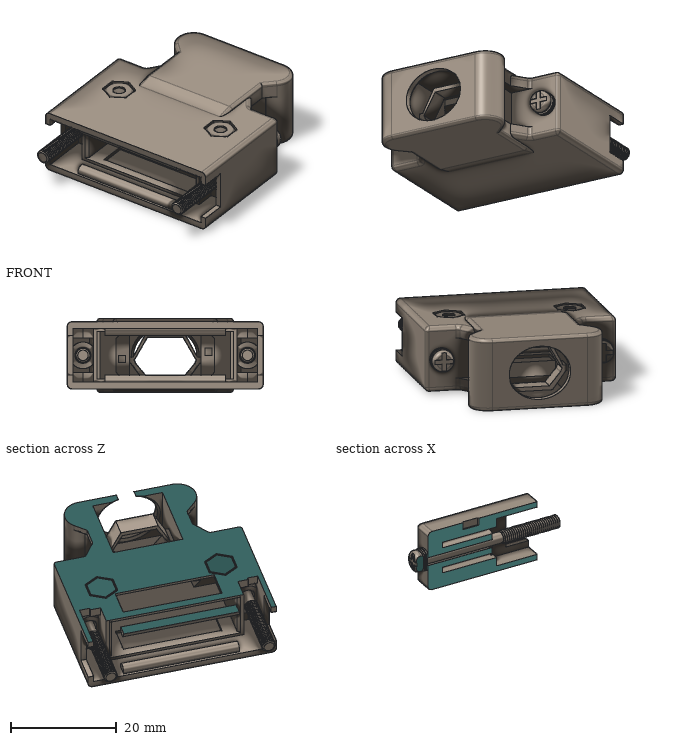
import cadquery as cq
import math


SIDES = (-1, 1)

HOOD_WIDTH = 37.1
HOOD_LENGTH = 23.82
HOOD_HEIGHT = 12.75
SHELL_ROUND = 0.95
SHELL_CORNER_ROUND = 0.6
SIDE_WALL = 1.05
FLOOR_WALL = 1.3
MOUTH_HALF_HEIGHT = HOOD_HEIGHT / 2 - FLOOR_WALL
SHOULDER_CORNER_X = 12.2
SHOULDER_END_X = 9.65
SHOULDER_END_Y = 27.45
SHOULDER_ROUND = 0.9

OVERALL_LENGTH = 44.2
SCREW_TIP_Y = -5.2
GRIP_BACK_Y = OVERALL_LENGTH + SCREW_TIP_Y
GRIP_HEIGHT = 14.0
LOBE_RADIUS = 3.65
LOBE_X = 9.25
LOBE_Y = GRIP_BACK_Y - LOBE_RADIUS
NECK_HALF_WIDTH = 9.85
GRIP_FRONT_Y = 17.7
RAMP_START_Y = 20.9
GRIP_ROUND = 0.65
WAIST_HALF_HEIGHT = 3.9
WAIST_HALF_WIDTH = 8.15
WAIST_CORNER_Y = 29.75

FRAME_Y = 4.95
PARTITION_OUTER_X = 13.55
CAVITY_HALF_WIDTH = 12.38
CAVITY_MOUTH_ROUND = 0.55
CAVITY_HALF_HEIGHT = 4.5
CAVITY_BACK_Y = 19.9
FUNNEL_HALF_WIDTH = 9.33
FUNNEL_CHAMFER = 1.33
NECK_BORE_HALF_WIDTH = 6.8
NECK_BORE_HALF_HEIGHT = 5.75
FUNNEL_END_Y = 23.43
NECK_BORE_END_Y = 37.15
CABLE_HOLE_HALF_WIDTH = 5.95
CABLE_HOLE_HALF_HEIGHT = 5.15
CABLE_HOLE_CHAMFER = 0.45
FLOOR_POCKET_HALF_WIDTH = 9.7
FLOOR_POCKET_START_Y = 6.65
FLOOR_POCKET_LENGTH = 5.3
FLOOR_POCKET_DEPTH = 0.57

NOTCH_INNER_X = 7.55
NOTCH_OUTER_X = 8.9
NOTCH_HEIGHT = 1.35
NOTCH_DEPTH_Y = 0.45

BAR_LENGTH = 22.8
BAR_RADIUS = 1.1
BAR_Y = 1.6
BAR_HEIGHT = 1.35
SLOT_HALF_HEIGHT = 3.7

SCREW_X = 15.55
CHANNEL_OUTER_X = HOOD_WIDTH / 2 - SIDE_WALL
CHANNEL_INNER_STEP_Y = 8.85
CHANNEL_OUTER_STEP_Y = 9.3
CHANNEL_HALF_HEIGHT = 3.25
CHANNEL_BACK_Y = 21.2
CHANNEL_BACK_X = 14.3
BOSS_DIAMETER = 5.05
BOSS_HEIGHT = 11.5
SCREW_HOLE_DIAMETER = 3.0

THREAD_DIAMETER = 2.6
THREAD_ROOT_DIAMETER = 2.0
THREAD_PITCH = 0.45
THREAD_TURNS = 28
CORE_DIAMETER = 2.2
HEAD_DIAMETER = 4.25
HEAD_TOP_DIAMETER = 2.85
HEAD_BASE_DIAMETER = 3.55
HEAD_BASE_Y = 24.75
UNDERSIDE_MIDDLE_DIAMETER = 4.1
UNDERSIDE_MIDDLE_Y = 25.0
HEAD_RIM_Y = 25.35
DOME_MIDDLE_DIAMETER = 3.95
DOME_MIDDLE_Y = 26.1
HEAD_TOP_Y = 26.45
DRIVE_WIDTH = 0.85
DRIVE_DEPTH = 0.18
WASHER_DIAMETER = 4.4
WASHER_THICKNESS = 0.35
WASHER_GAP = 0.15

NUT_X = 11.75
NUT_Y = 14.45
NUT_WIDTH = 5.05
NUT_RECESS_WIDTH = 5.45
NUT_CHAMFER_DIAMETER = 4.95
NUT_CHAMFER_HEIGHT = 0.15
NUT_SINK = 0.18
NUT_THICKNESS = 1.33
NUT_HOLE_DIAMETER = 2.4
NUT_HOLE_DEPTH = 0.3

CLAMP_START_Y = 29.15
CLAMP_LENGTH = 3.55
CLAMP_TOP_Z = 4.2
CLAMP_INNER_TOP_Z = 3.4
CLAMP_BOTTOM_Z = -5.0
CLAMP_INNER_BOTTOM_Z = -4.2
CLAMP_MIDDLE_Z = -0.9
CLAMP_EAR_HALF_HEIGHT = 0.55
CLAMP_INNER_FLAT_X = 3.35
CLAMP_INNER_MIDDLE_X = 5.85
CLAMP_INNER_KNEE_X = 5.52
CLAMP_INNER_KNEE_Z = -1.6
CLAMP_OUTER_TOP_X = 3.65
CLAMP_OUTER_MIDDLE_X = 6.35
CLAMP_OUTER_KNEE_X = 6.6
CLAMP_OUTER_BOTTOM_X = 4


def box(x_min, x_max, y_min, y_max, z_min, z_max):
    """Axis-aligned block between the given limits."""
    size = (x_max - x_min, y_max - y_min, z_max - z_min)
    return cq.Workplane("XY").box(*size, centered=False).translate((x_min, y_min, z_min))


def prism_along_z(half_outline, half_height):
    """Prism, centred on Z = 0, of a right-hand outline completed by its mirror image in X = 0."""
    mirrored = [(-x, y) for x, y in reversed(half_outline)]
    outline = cq.Workplane("XY").polyline(half_outline + mirrored).close()
    return outline.extrude(half_height, both=True)


def prism_along_y(half_outline, y_start, y_end):
    """Prism between two Y positions of an (x, z) outline completed by its mirror image in X = 0."""
    mirrored = [(-x, z) for x, z in reversed(half_outline)]
    plane = cq.Workplane("XZ", origin=(0, y_start, 0))
    return plane.polyline(half_outline + mirrored).close().extrude(y_start - y_end)


def cylinder_along_y(diameter, x, y_start, y_end):
    plane = cq.Workplane("XZ", origin=(x, y_start, 0))
    return plane.circle(diameter / 2).extrude(y_start - y_end)


def hex_prism(width, x, y, z_min, height):
    """Hexagonal prism along Z, with the width across its flats along X."""
    corner_diameter = width / math.cos(math.radians(30))
    prism = cq.Workplane("XY").polygon(6, corner_diameter).extrude(height)
    return prism.rotate((0, 0, 0), (0, 0, 1), 30).translate((x, y, z_min))



def make_shell():
    """Outer block of the hood with its sloped shoulders, rounded everywhere except at the mouth."""
    half_outline = [
        (HOOD_WIDTH / 2, 0),
        (HOOD_WIDTH / 2, HOOD_LENGTH),
        (SHOULDER_CORNER_X, HOOD_LENGTH),
        (SHOULDER_END_X, SHOULDER_END_Y),
    ]
    shell = prism_along_z(half_outline, HOOD_HEIGHT / 2)
    for side in SIDES:
        corner = cq.selectors.NearestToPointSelector((side * SHOULDER_CORNER_X, HOOD_LENGTH, 0))
        shell = shell.edges(corner).fillet(SHOULDER_ROUND)
        corner = cq.selectors.NearestToPointSelector((side * HOOD_WIDTH / 2, HOOD_LENGTH, 0))
        shell = shell.edges(corner).fillet(SHELL_CORNER_ROUND)
    return shell.faces(">Z or <Z").edges("not <Y").fillet(SHELL_ROUND)


def grip_outline(lobe_end, neck_points):
    """Closed grip outline from the end of the right-hand lobe arc down the neck, mirrored in X = 0."""
    left_neck = [(-x, y) for x, y in reversed(neck_points)]
    outline = (
        cq.Workplane("XY")
        .moveTo(-LOBE_X, GRIP_BACK_Y)
        .lineTo(LOBE_X, GRIP_BACK_Y)
        .threePointArc((LOBE_X + LOBE_RADIUS, LOBE_Y), lobe_end)
    )
    for point in neck_points + left_neck:
        outline = outline.lineTo(*point)
    return (
        outline.lineTo(-lobe_end[0], lobe_end[1])
        .threePointArc((-LOBE_X - LOBE_RADIUS, LOBE_Y), (-LOBE_X, GRIP_BACK_Y))
        .close()
    )


def make_grip_plate():
    """Upper grip plate: two lobes that run at 45 degrees into a straight neck, ending in a ramp."""
    diagonal = LOBE_RADIUS * math.sqrt(0.5)
    tangent = (LOBE_X + diagonal, LOBE_Y - diagonal)
    neck_corner_y = tangent[1] - (tangent[0] - NECK_HALF_WIDTH)
    neck = [(NECK_HALF_WIDTH, neck_corner_y), (NECK_HALF_WIDTH, GRIP_FRONT_Y)]
    plate = grip_outline(tangent, neck).extrude(GRIP_HEIGHT / 2 - WAIST_HALF_HEIGHT)
    plate = plate.translate((0, 0, WAIST_HALF_HEIGHT))
    ramp = (
        cq.Workplane("YZ")
        .polyline([
            (GRIP_FRONT_Y, HOOD_HEIGHT / 2),
            (RAMP_START_Y, GRIP_HEIGHT / 2),
            (GRIP_FRONT_Y, GRIP_HEIGHT / 2),
        ])
        .close()
        .extrude(NECK_HALF_WIDTH, both=True)
    )
    plate = plate.cut(ramp)
    ramp_sides = cq.selectors.BoxSelector(
        (-HOOD_WIDTH / 2, GRIP_FRONT_Y + GRIP_ROUND, HOOD_HEIGHT / 2),
        (HOOD_WIDTH / 2, RAMP_START_Y - GRIP_ROUND, GRIP_HEIGHT / 2),
    )
    rounded_edges = plate.faces(">Z").edges("not <Y").add(plate.edges(ramp_sides))
    return rounded_edges.fillet(GRIP_ROUND)


def make_waist():
    """Middle of the grip between the plates: fuller lobes and a narrower neck."""
    web_x = WAIST_HALF_WIDTH + (LOBE_Y - LOBE_RADIUS) - WAIST_CORNER_Y
    lobe_end = (web_x, LOBE_Y - math.sqrt(LOBE_RADIUS ** 2 - (web_x - LOBE_X) ** 2))
    neck = [
        (web_x, LOBE_Y - LOBE_RADIUS),
        (WAIST_HALF_WIDTH, WAIST_CORNER_Y),
        (WAIST_HALF_WIDTH, GRIP_FRONT_Y),
    ]
    return grip_outline(lobe_end, neck).extrude(WAIST_HALF_HEIGHT, both=True)


def make_shoulder_gap():
    """Gap between the waist and the right-hand shoulder."""
    return box(
        WAIST_HALF_WIDTH, HOOD_WIDTH / 2, HOOD_LENGTH, GRIP_BACK_Y, -WAIST_HALF_HEIGHT, WAIST_HALF_HEIGHT
    )


def make_main_cavity():
    """Mouth, framed inner cavity, funnel, neck bore and the oval cable hole."""
    mouth = box(-CHANNEL_OUTER_X, CHANNEL_OUTER_X, 0, FRAME_Y, -MOUTH_HALF_HEIGHT, MOUTH_HALF_HEIGHT)
    mouth_x = CAVITY_HALF_WIDTH + CAVITY_MOUTH_ROUND
    round_end_y = FRAME_Y + CAVITY_MOUTH_ROUND
    inner = (
        cq.Workplane("XY")
        .moveTo(-mouth_x, FRAME_Y)
        .lineTo(mouth_x, FRAME_Y)
        .radiusArc((CAVITY_HALF_WIDTH, round_end_y), -CAVITY_MOUTH_ROUND)
        .lineTo(CAVITY_HALF_WIDTH, CAVITY_BACK_Y)
        .lineTo(-CAVITY_HALF_WIDTH, CAVITY_BACK_Y)
        .lineTo(-CAVITY_HALF_WIDTH, round_end_y)
        .radiusArc((-mouth_x, FRAME_Y), -CAVITY_MOUTH_ROUND)
        .close()
        .extrude(CAVITY_HALF_HEIGHT, both=True)
    )
    funnel = prism_along_z(
        [(FUNNEL_HALF_WIDTH, CAVITY_BACK_Y), (NECK_BORE_HALF_WIDTH, FUNNEL_END_Y)], CAVITY_HALF_HEIGHT
    )
    funnel_limit = box(
        -FUNNEL_HALF_WIDTH, FUNNEL_HALF_WIDTH, CAVITY_BACK_Y, FUNNEL_END_Y,
        -CAVITY_HALF_HEIGHT, CAVITY_HALF_HEIGHT,
    )
    funnel = funnel.intersect(funnel_limit.edges("|Y").chamfer(FUNNEL_CHAMFER))
    neck_bore = box(
        -NECK_BORE_HALF_WIDTH, NECK_BORE_HALF_WIDTH, FUNNEL_END_Y, NECK_BORE_END_Y,
        -NECK_BORE_HALF_HEIGHT, NECK_BORE_HALF_HEIGHT,
    )
    cable_hole = (
        cq.Workplane("XZ", origin=(0, GRIP_BACK_Y, 0))
        .ellipse(CABLE_HOLE_HALF_WIDTH, CABLE_HOLE_HALF_HEIGHT)
        .extrude(GRIP_BACK_Y - NECK_BORE_END_Y)
    )
    hole_mouth = (
        cq.Workplane("XZ", origin=(0, NECK_BORE_END_Y + CABLE_HOLE_CHAMFER, 0))
        .ellipse(CABLE_HOLE_HALF_WIDTH, CABLE_HOLE_HALF_HEIGHT)
        .workplane(offset=CABLE_HOLE_CHAMFER)
        .ellipse(CABLE_HOLE_HALF_WIDTH + CABLE_HOLE_CHAMFER, CABLE_HOLE_HALF_HEIGHT + CABLE_HOLE_CHAMFER)
        .loft(ruled=True)
    )
    cavity = mouth.union(inner).union(funnel).union(neck_bore).union(cable_hole).union(hole_mouth)
    pocket_half_height = CAVITY_HALF_HEIGHT + FLOOR_POCKET_DEPTH
    pocket = box(
        -FLOOR_POCKET_HALF_WIDTH, FLOOR_POCKET_HALF_WIDTH,
        FLOOR_POCKET_START_Y, FLOOR_POCKET_START_Y + FLOOR_POCKET_LENGTH,
        -pocket_half_height, pocket_half_height,
    )
    return cavity.union(pocket)


def make_funnel_notch():
    """Small notch in the left funnel wall; the right wall has the same notch turned half round Y."""
    wall_slope = (FUNNEL_END_Y - CAVITY_BACK_Y) / (FUNNEL_HALF_WIDTH - NECK_BORE_HALF_WIDTH)
    floor_outer_y = CAVITY_BACK_Y + wall_slope * (FUNNEL_HALF_WIDTH - NOTCH_OUTER_X) + NOTCH_DEPTH_Y
    floor_inner_y = CAVITY_BACK_Y + wall_slope * (FUNNEL_HALF_WIDTH - NOTCH_INNER_X) + NOTCH_DEPTH_Y
    outline = [
        (-NOTCH_OUTER_X, CAVITY_BACK_Y),
        (-NOTCH_INNER_X, CAVITY_BACK_Y),
        (-NOTCH_INNER_X, floor_inner_y),
        (-NOTCH_OUTER_X, floor_outer_y),
    ]
    return cq.Workplane("XY").polyline(outline).close().extrude(-NOTCH_HEIGHT)


def make_screw_channel():
    """Stepped channel on the right-hand side, with a long boss round the screw."""
    front = box(
        PARTITION_OUTER_X, SCREW_X, FRAME_Y, CHANNEL_INNER_STEP_Y, -MOUTH_HALF_HEIGHT, MOUTH_HALF_HEIGHT
    )
    outer_front = box(
        SCREW_X, CHANNEL_OUTER_X, FRAME_Y, CHANNEL_OUTER_STEP_Y, -MOUTH_HALF_HEIGHT, MOUTH_HALF_HEIGHT
    )
    back_outline = [
        (PARTITION_OUTER_X, CHANNEL_INNER_STEP_Y),
        (CHANNEL_BACK_X, CHANNEL_BACK_Y),
        (CHANNEL_OUTER_X, CHANNEL_BACK_Y),
        (CHANNEL_OUTER_X, CHANNEL_INNER_STEP_Y),
    ]
    back = cq.Workplane("XY").polyline(back_outline).close().extrude(CHANNEL_HALF_HEIGHT, both=True)
    boss = cylinder_along_y(BOSS_DIAMETER, SCREW_X, CHANNEL_BACK_Y - BOSS_HEIGHT, CHANNEL_BACK_Y)
    hole = cylinder_along_y(SCREW_HOLE_DIAMETER, SCREW_X, CHANNEL_BACK_Y - BOSS_HEIGHT, HOOD_LENGTH)
    return back.cut(boss).union(front).union(outer_front).union(hole)


def make_side_slot():
    """Slot through the right-hand side wall at the mouth."""
    return box(CHANNEL_OUTER_X, HOOD_WIDTH / 2, 0, FRAME_Y, -SLOT_HALF_HEIGHT, SLOT_HALF_HEIGHT)


def make_bar():
    """Round-topped bar that stands on the floor of the mouth."""
    floor_z = -MOUTH_HALF_HEIGHT
    top_z = floor_z + BAR_HEIGHT
    shoulder_z = top_z - BAR_RADIUS
    return (
        cq.Workplane("YZ")
        .moveTo(BAR_Y - BAR_RADIUS, floor_z)
        .lineTo(BAR_Y - BAR_RADIUS, shoulder_z)
        .threePointArc((BAR_Y, top_z), (BAR_Y + BAR_RADIUS, shoulder_z))
        .lineTo(BAR_Y + BAR_RADIUS, floor_z)
        .close()
        .extrude(BAR_LENGTH / 2, both=True)
    )


def make_housing():
    gap = make_shoulder_gap()
    plate = make_grip_plate()
    body = make_shell().cut(gap).cut(gap.mirror("YZ"))
    body = body.union(make_waist()).union(plate).union(plate.mirror("XY"))
    body = body.cut(make_main_cavity())
    notch = make_funnel_notch()
    body = body.cut(notch).cut(notch.rotate((0, 0, 0), (0, 1, 0), 180))
    for cutter in (make_screw_channel(), make_side_slot()):
        body = body.cut(cutter).cut(cutter.mirror("YZ"))
    for side in SIDES:
        recess_depth = NUT_SINK + NUT_THICKNESS
        recess_floor = HOOD_HEIGHT / 2 - recess_depth
        body = body.cut(hex_prism(NUT_RECESS_WIDTH, side * NUT_X, NUT_Y, recess_floor, recess_depth))
    bar = make_bar()
    return body.union(bar).union(bar.mirror("XY"))



def make_jackscrew(x):
    """Pan-head screw along Y with its spring washer; ring grooves form the thread at the -Y end."""
    root = THREAD_ROOT_DIAMETER / 2
    crest = THREAD_DIAMETER / 2
    profile = [(0, SCREW_TIP_Y), (root, SCREW_TIP_Y)]
    for turn in range(THREAD_TURNS):
        groove_y = SCREW_TIP_Y + turn * THREAD_PITCH
        profile.append((crest, groove_y + THREAD_PITCH / 2))
        profile.append((root, groove_y + THREAD_PITCH))
    core = CORE_DIAMETER / 2
    thread_end_y = SCREW_TIP_Y + THREAD_TURNS * THREAD_PITCH
    washer = WASHER_DIAMETER / 2
    lower_coil_y = HOOD_LENGTH + WASHER_THICKNESS
    upper_coil_y = lower_coil_y + WASHER_GAP
    profile += [
        (core, thread_end_y),
        (core, HOOD_LENGTH),
        (washer, HOOD_LENGTH),
        (washer, lower_coil_y),
        (core, lower_coil_y),
        (core, upper_coil_y),
        (washer, upper_coil_y),
        (washer, upper_coil_y + WASHER_THICKNESS),
        (core, upper_coil_y + WASHER_THICKNESS),
        (core, HEAD_BASE_Y),
        (HEAD_BASE_DIAMETER / 2, HEAD_BASE_Y),
    ]
    screw = (
        cq.Workplane("XY")
        .polyline(profile)
        .threePointArc((UNDERSIDE_MIDDLE_DIAMETER / 2, UNDERSIDE_MIDDLE_Y), (HEAD_DIAMETER / 2, HEAD_RIM_Y))
        .threePointArc((DOME_MIDDLE_DIAMETER / 2, DOME_MIDDLE_Y), (HEAD_TOP_DIAMETER / 2, HEAD_TOP_Y))
        .lineTo(0, HEAD_TOP_Y)
        .close()
        .revolve(360, (0, 0, 0), (0, 1, 0))
    )
    for size_x, size_z in ((DRIVE_WIDTH, HEAD_DIAMETER), (HEAD_DIAMETER, DRIVE_WIDTH)):
        drive = box(
            -size_x / 2, size_x / 2, HEAD_TOP_Y - DRIVE_DEPTH, HEAD_TOP_Y, -size_z / 2, size_z / 2
        )
        screw = screw.cut(drive)
    return screw.translate((x, 0, 0))



def make_nut(x):
    """Hexagonal nut just below the top face, with a conical chamfer and a short blind hole."""
    top_z = HOOD_HEIGHT / 2 - NUT_SINK
    nut = hex_prism(NUT_WIDTH, x, NUT_Y, top_z - NUT_THICKNESS, NUT_THICKNESS)
    chamfer_reach = NUT_WIDTH / math.cos(math.radians(30)) - NUT_CHAMFER_DIAMETER
    slope = NUT_CHAMFER_HEIGHT / (chamfer_reach / 2)
    base_radius = NUT_CHAMFER_DIAMETER / 2 + NUT_THICKNESS / slope
    cone = cq.Solid.makeCone(
        base_radius, NUT_CHAMFER_DIAMETER / 2, NUT_THICKNESS, cq.Vector(x, NUT_Y, top_z - NUT_THICKNESS)
    )
    nut = nut.intersect(cq.Workplane(cone))
    hole = cq.Workplane("XY", origin=(x, NUT_Y, top_z)).circle(NUT_HOLE_DIAMETER / 2)
    return nut.cut(hole.extrude(-NUT_HOLE_DEPTH))



def make_clamp():
    """Faceted band across the neck bore, held by an ear at each side wall."""
    inner = [
        (CLAMP_INNER_FLAT_X, CLAMP_INNER_TOP_Z),
        (CLAMP_INNER_MIDDLE_X, CLAMP_MIDDLE_Z),
        (CLAMP_INNER_KNEE_X, CLAMP_INNER_KNEE_Z),
        (CLAMP_INNER_FLAT_X, CLAMP_INNER_BOTTOM_Z),
    ]
    outer = [
        (CLAMP_OUTER_TOP_X, CLAMP_TOP_Z),
        (CLAMP_OUTER_MIDDLE_X, CLAMP_MIDDLE_Z),
        (CLAMP_OUTER_KNEE_X, CLAMP_MIDDLE_Z - CLAMP_EAR_HALF_HEIGHT),
        (CLAMP_OUTER_BOTTOM_X, CLAMP_BOTTOM_Z),
    ]
    end_y = CLAMP_START_Y + CLAMP_LENGTH

    band = prism_along_y(outer, CLAMP_START_Y, end_y)
    ears = box(
        -NECK_BORE_HALF_WIDTH, NECK_BORE_HALF_WIDTH, CLAMP_START_Y, end_y,
        CLAMP_MIDDLE_Z - CLAMP_EAR_HALF_HEIGHT, CLAMP_MIDDLE_Z + CLAMP_EAR_HALF_HEIGHT,
    )
    return band.union(ears).cut(prism_along_y(inner, CLAMP_START_Y, end_y))


housing = make_housing()
jackscrews = [make_jackscrew(side * SCREW_X) for side in SIDES]
nuts = [make_nut(side * NUT_X) for side in SIDES]
clamp = make_clamp()

bodies = [housing, *jackscrews, *nuts, clamp]
result = cq.Compound.makeCompound([body.val() for body in bodies])